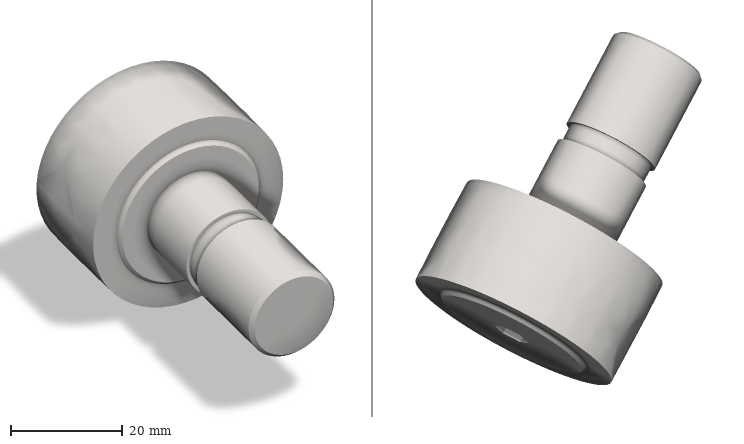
import cadquery as cq
import math

total_length = 58.0
roller_diameter = 40.0
roller_width = 20.0
crown_radius = 499.95
flange_diameter = 30.0
flange_overhang = 0.75
stud_diameter = 18.0
stud_end_chamfer = 0.8
groove_start = 35.3
groove_width = 3.6
groove_diameter = 16.5
hex_across_flats = 6.0
hex_depth = 6.0
socket_tip_angle = 118.0

roller_radius = roller_diameter / 2
flange_radius = flange_diameter / 2
flange_face_radius = flange_radius - flange_overhang
stud_radius = stud_diameter / 2
groove_radius = groove_diameter / 2
roller_start = flange_overhang
roller_end = roller_start + roller_width
flange_end = roller_end + flange_overhang
groove_end = groove_start + groove_width

half_width = roller_width / 2
crown_drop = crown_radius - math.sqrt(crown_radius**2 - half_width**2)
roller_edge_radius = roller_radius - crown_drop
hex_across_corners = hex_across_flats / math.cos(math.pi / 6)


def make_body():
    """Crowned roller, conical flanges and grooved stud, revolved about X."""
    profile = (
        cq.Workplane("XY")
        .lineTo(0, flange_face_radius)
        .lineTo(roller_start, flange_radius)
        .lineTo(roller_start, roller_edge_radius)
        .threePointArc((roller_start + half_width, roller_radius), (roller_end, roller_edge_radius))
        .lineTo(roller_end, flange_radius)
        .lineTo(flange_end, flange_face_radius)
        .lineTo(flange_end, stud_radius)
        .lineTo(groove_start, stud_radius)
        .lineTo(groove_start, groove_radius)
        .lineTo(groove_end, groove_radius)
        .lineTo(groove_end, stud_radius)
        .lineTo(total_length - stud_end_chamfer, stud_radius)
        .lineTo(total_length, stud_radius - stud_end_chamfer)
        .lineTo(total_length, 0)
        .close()
    )
    return profile.revolve(360, (0, 0, 0), (1, 0, 0))


def make_hex_socket():
    """Hexagonal key socket, corners along Y, with a conical bottom across its full section."""
    tip_radius = hex_across_corners / 2
    tip_depth = tip_radius / math.tan(math.radians(socket_tip_angle / 2))
    hexagon = cq.Workplane("YZ").polygon(6, hex_across_corners).extrude(hex_depth + tip_depth)
    pointed_bore = (
        cq.Workplane("XY")
        .lineTo(0, tip_radius)
        .lineTo(hex_depth, tip_radius)
        .lineTo(hex_depth + tip_depth, 0)
        .close()
        .revolve(360, (0, 0, 0), (1, 0, 0))
    )
    return hexagon.intersect(pointed_bore)


result = make_body().cut(make_hex_socket())